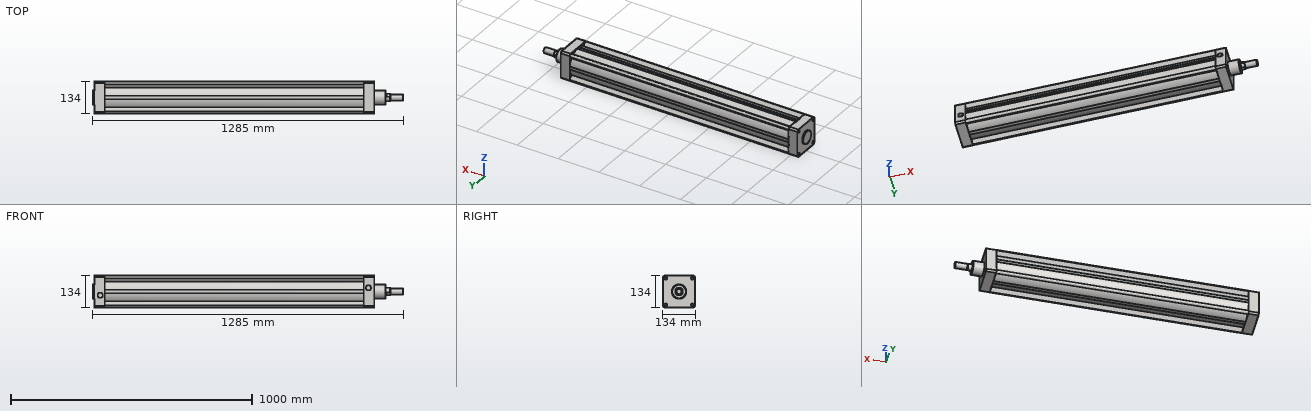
import cadquery as cq


total_length = 1285.0
cap_side = 134.0
cap_length = 44.0
cap_corner_chamfer = 8.0
spigot_diameter = 60.0
spigot_length = 6.0
boss_length = 48.0
boss_chamfer = 3.0

screw_pitch = 109.0
screw_diameter = 10.0
screw_depth = 19.0

port_diameter = 22.0
port_depth = 15.0
port_offset = 15.0
port_setback = 25.0

tube_radius = 65.0
rail_width = 15.0
rail_corner_radius = 12.0
groove_width = 14.0
groove_depth = 1.0

rod_diameter = 32.0
rod_exposed_length = 20.0
rod_flat_width = 27.0
rod_flat_angle = -45
rod_neck_length = 4.0
rod_chamfer = 4.0
thread_diameter = 27.0
thread_length = 51.0
thread_chamfer = 3.0

rear_face = spigot_length
barrel_start = rear_face + cap_length
shoulder = total_length - thread_length
boss_end = shoulder - rod_exposed_length
front_face = boss_end - boss_length
barrel_end = front_face - cap_length
barrel_length = barrel_end - barrel_start


def section(x):
    """Workplane across the cylinder at x; local axes are Y and Z, extrusion runs to +X."""
    return cq.Workplane("YZ", origin=(x, 0, 0))


def cap_block(x):
    """Square end block with flat corner chamfers, starting at x."""
    block = section(x).rect(cap_side, cap_side).extrude(cap_length)
    return block.edges("|X").chamfer(cap_corner_chamfer)


def screw_holes(x):
    """Four corner screw holes drilled toward +X from x."""
    holes = section(x).rect(screw_pitch, screw_pitch, forConstruction=True).vertices()
    return holes.circle(screw_diameter / 2).extrude(screw_depth)


def port(x, z):
    """Air port drilled into the -Y side at x and z."""
    mouth = cq.Workplane("XZ", origin=(x, -cap_side / 2, z))
    return mouth.circle(port_diameter / 2).extrude(-port_depth)


def make_rear_cap():
    spigot = section(0).circle(spigot_diameter / 2).extrude(spigot_length)
    cap = cap_block(rear_face).union(spigot)
    cap = cap.cut(screw_holes(rear_face))
    return cap.cut(port(rear_face + port_setback, -port_offset))


def make_front_cap():
    boss = section(front_face).circle(spigot_diameter / 2).extrude(boss_length)
    boss = boss.faces(">X").chamfer(boss_chamfer)
    cap = cap_block(barrel_end).union(boss)
    cap = cap.cut(screw_holes(front_face - screw_depth))
    return cap.cut(port(front_face - port_setback, port_offset))


def make_barrel():
    tube = section(barrel_start).circle(tube_radius).extrude(barrel_length)

    envelope = section(barrel_start).rect(cap_side, cap_side).extrude(barrel_length)
    envelope = envelope.edges("|X").fillet(rail_corner_radius)
    web = section(barrel_start).rect(2 * cap_side, rail_width).extrude(barrel_length)
    barrel = tube
    for angle in (45, 135):
        rail_pair = web.rotate((0, 0, 0), (1, 0, 0), angle).intersect(envelope)
        barrel = barrel.union(rail_pair)

    floor = section(barrel_start).circle(tube_radius - groove_depth).extrude(barrel_length)
    slot = section(barrel_start).rect(2 * cap_side, groove_width).extrude(barrel_length)
    for angle in (0, 90):
        barrel = barrel.cut(slot.rotate((0, 0, 0), (1, 0, 0), angle).cut(floor))
    return barrel


def make_rod():
    rod = section(boss_end).circle(rod_diameter / 2).extrude(rod_exposed_length)
    rod = rod.faces(">X").chamfer(rod_chamfer)

    flats_start = boss_end + rod_neck_length
    flats_length = shoulder - flats_start
    sleeve = section(flats_start).rect(2 * rod_diameter, 2 * rod_diameter).extrude(flats_length)
    kept = section(flats_start).rect(2 * rod_diameter, rod_flat_width).extrude(flats_length)
    flats = sleeve.cut(kept).rotate((0, 0, 0), (1, 0, 0), rod_flat_angle)
    rod = rod.cut(flats)

    thread = section(shoulder).circle(thread_diameter / 2).extrude(thread_length)
    thread = thread.faces(">X").chamfer(thread_chamfer)
    return rod.union(thread)


rear_cap = make_rear_cap()
barrel = make_barrel()
front_cap = make_front_cap()
rod = make_rod()

result = cq.Compound.makeCompound([rear_cap.val(), barrel.val(), front_cap.val(), rod.val()])